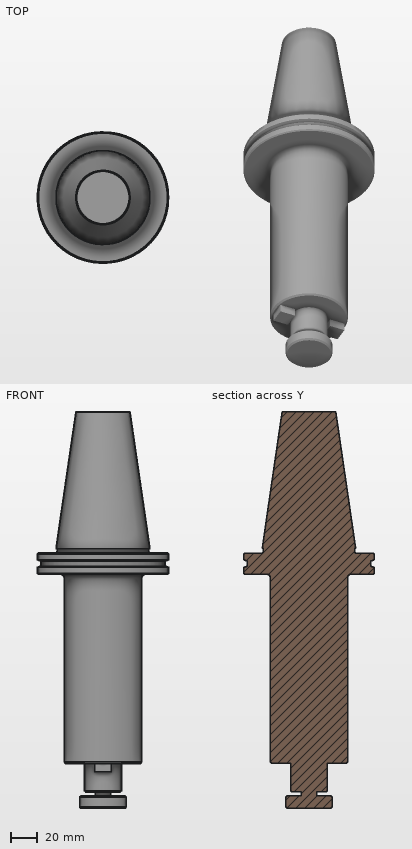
import cadquery as cq
import math

gauge_radius = 34.93
taper_length = 101.7
taper_ratio = 7 / 24
tip_radius = gauge_radius - taper_length * taper_ratio / 2
tip_chamfer = 0.5

neck_radius = 34.2
neck_fillet = 1.0

flange_radius = 48.78
flange_top = -3.2
flange_bottom = -19.2
flange_chamfer = 1.0
groove_center = -11.2
groove_depth = 2.7
groove_root_width = 3.5
groove_flank_angle = 22
groove_root_radius = flange_radius - groove_depth
groove_mouth_width = groove_root_width + 2 * groove_depth * math.tan(math.radians(groove_flank_angle))

body_radius = 29.0
body_bottom = -159.8
body_fillet = 2.7
body_chamfer = 1.2

overall_length = 294.8
screw_bottom = taper_length - overall_length
spigot_radius = 14.0
spigot_bottom = -181.0
spigot_chamfer = 1.2
screw_radius = 6
head_radius = 17.5
head_top = -183.5
head_chamfer = 1.2

key_width = 12.0
key_inner = 14.5
key_outer = 26.2
key_height = 6.2


def cylinder(radius, bottom, top):
    return cq.Workplane("XY").workplane(offset=bottom).circle(radius).extrude(top - bottom)


def make_taper():
    profile = [(0, 0), (gauge_radius, 0), (tip_radius, taper_length), (0, taper_length)]
    taper = cq.Workplane("XZ").polyline(profile).close().revolve(360, (0, 0), (0, 1))
    return taper.faces(">Z").edges().chamfer(tip_chamfer)


def make_flange():
    blank = cylinder(flange_radius, flange_bottom, flange_top).edges().chamfer(flange_chamfer)
    groove_profile = [
        (flange_radius, groove_center + groove_mouth_width / 2),
        (groove_root_radius, groove_center + groove_root_width / 2),
        (groove_root_radius, groove_center - groove_root_width / 2),
        (flange_radius, groove_center - groove_mouth_width / 2),
    ]
    groove = cq.Workplane("XZ").polyline(groove_profile).close().revolve(360, (0, 0), (0, 1))
    return blank.cut(groove)


def make_root_fillet(radius, face_z, size, direction):
    """Concave ring where a cylinder meets the flange face; direction points away from the face."""
    center_r = radius + size
    center_z = face_z + direction * size
    arc_offset = size * math.sqrt(0.5)
    return (
        cq.Workplane("XZ")
        .moveTo(0, face_z)
        .lineTo(center_r, face_z)
        .threePointArc((center_r - arc_offset, center_z - direction * arc_offset), (radius, center_z))
        .lineTo(0, center_z)
        .close()
        .revolve(360, (0, 0), (0, 1))
    )


def make_body():
    return cylinder(body_radius, body_bottom, flange_bottom).faces("<Z").edges().chamfer(body_chamfer)


def make_spigot():
    spigot = cylinder(spigot_radius, spigot_bottom, body_bottom)
    return spigot.faces("<Z").edges().chamfer(spigot_chamfer)


def make_screw():
    head = cylinder(head_radius, screw_bottom, head_top).edges().chamfer(head_chamfer)
    shaft = cylinder(screw_radius, head_top, spigot_bottom)
    return head.union(shaft)


def make_keys():
    key_centers = [(0, side * (key_inner + key_outer) / 2) for side in (-1, 1)]
    return (
        cq.Workplane("XY")
        .workplane(offset=body_bottom)
        .pushPoints(key_centers)
        .rect(key_width, key_outer - key_inner)
        .extrude(-key_height)
    )


result = (
    make_taper()
    .union(cylinder(neck_radius, flange_top, 0))
    .union(make_flange())
    .union(make_root_fillet(neck_radius, flange_top, neck_fillet, 1))
    .union(make_body())
    .union(make_root_fillet(body_radius, flange_bottom, body_fillet, -1))
    .union(make_spigot())
    .union(make_screw())
    .union(make_keys())
)